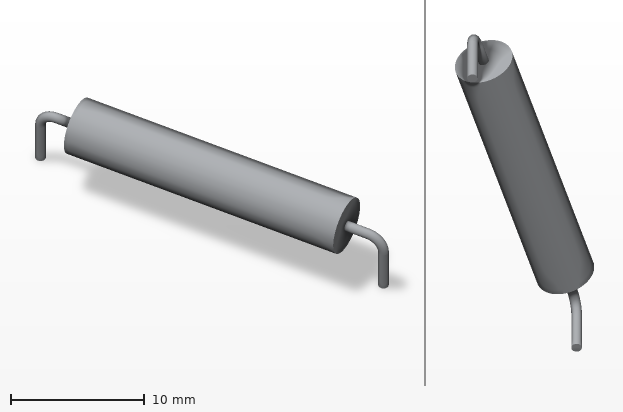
import cadquery as cq

overall_length = 29.5
overall_height = 7.25
body_diameter = 4.48
body_length = 22.53
lead_diameter = 0.8
bend_radius = 1.33

body_end = body_length / 2
leg_x = overall_length / 2 - lead_diameter / 2
bend_start_x = leg_x - bend_radius
leg_bottom_z = body_diameter / 2 - overall_height


def make_body():
    """Plain cylindrical body centred on the origin."""
    return (
        cq.Workplane("YZ")
        .workplane(offset=-body_end)
        .circle(body_diameter / 2)
        .extrude(body_length)
    )


def make_lead(side):
    """Round wire from a body end face, bent down into a leg; side is -1 or +1 along X."""
    path = (
        cq.Workplane("XZ")
        .moveTo(side * body_end, 0)
        .lineTo(side * bend_start_x, 0)
        .tangentArcPoint((side * leg_x, -bend_radius), relative=False)
        .lineTo(side * leg_x, leg_bottom_z)
    )
    return (
        cq.Workplane("YZ")
        .workplane(offset=side * body_end)
        .circle(lead_diameter / 2)
        .sweep(path)
    )


body = make_body()
leads = [make_lead(side) for side in (-1, 1)]

result = cq.Compound.makeCompound([body.val(), *[lead.val() for lead in leads]])